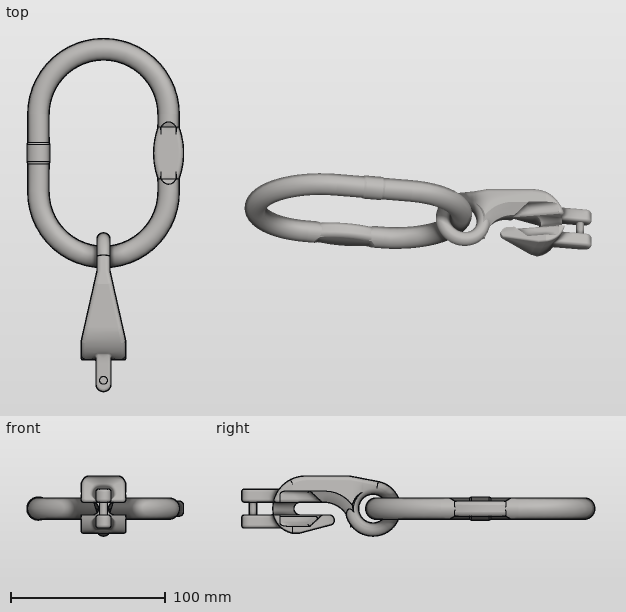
import cadquery as cq
import math

ring_wire_r = 7.0
ring_bend_r = 42.0
ring_half_straight = 25.0

collar_r = 15.05 / 2
collar_half = 5.5
collar_half_foot = 6.9

tag_half_z = 5.0
tag_half_flat = 16.7
tag_ramp = 3.4
tag_half_width = 9.77
tag_half_y = 22.0
tag_end_half_width = 4.5
tag_edge_r = 3.2

eye_y = -69.2
eye_wire_r = 4.33
eye_hole_r = 9.2
eye_ring_r = eye_hole_r + eye_wire_r
eye_outer_r = eye_ring_r + eye_wire_r
eye_hole_fillet = 3.4
eye_flare_r = 19.0

back_z = 21.1
back_r = back_z
back_slope = math.radians(10.8)
heel_y = -112.8
heel_front_y = heel_y - back_r
taper_start_y = -76.2
taper_end_y = -121.0
hook_half_width = 14.4
back_edge_r = 3.0
heel_edge_r = 1.5

slot_half = 4.05
slot_end_y = -116.1
throat_y = -101.0
throat_r = 17.5
throat_end_angle = math.radians(5)
throat_bevel_drop = 7.2
throat_bevel_inset = 5.0

lip_belly_z = -15.9
lip_belly_rear_y = -116.5
lip_belly_front_y = -121.3
lip_heel_mid = (-129.9, -10.9)
lip_tip_low = (-95.6, -10.4)
lip_tip_nose = (-94.1, -7.6)
lip_tip_top = (-98.4, -slot_half)
lip_tip_half_width = 1.5
lip_full_width_y = taper_end_y
lip_edge_r = 1.2

recess_depth_z = 11.4
recess_ramp_y = -102.0
recess_floor_y = -109.9
recess_end_y = -129.3
land_tip_y = -100.5
land_tip_half_width = 1.5
land_fillet = 2.0
land_edge_bevel = 1.0

neck_half_width = 3.1
groove_front_y = -140.0

fork_half_width = 4.9
fork_end_y = -153.99
fork_round_y = fork_end_y + fork_half_width
fork_root_y = -128.0
fork_outer_z = 12.65
fork_root_fillet = 1.0
fork_edge_r = 1.9

pin_d = 5.0
pin_y = -146.6


heel_end_y = heel_y - math.sqrt(back_r**2 - slot_half**2)

clearance = 0.3
reach = 100.0
upper_half = ((-reach, fork_end_y, back_z / 2), (reach, 0, reach))
throat_rim = ((-reach, recess_floor_y, -reach), (-clearance, eye_y - eye_ring_r / 2, slot_half + clearance))
below_lip_top = ((-reach, fork_end_y, -reach), (reach, lip_tip_low[0] - clearance, -slot_half - clearance))
fork_root_half_width = fork_half_width + clearance
upper_fork_root = (
    (-fork_root_half_width, heel_front_y - clearance, slot_half + clearance),
    (fork_root_half_width, fork_root_y + fork_edge_r, fork_outer_z + clearance),
)
lower_fork_root = (
    (-fork_root_half_width, heel_front_y - clearance, -fork_outer_z - clearance),
    (fork_root_half_width, fork_root_y + fork_edge_r, -slot_half - clearance),
)


def edges_in(body, box):
    """Edges of a body whose centres lie inside a box given by two opposite corners."""
    return body.edges(cq.selectors.BoxSelector(*box))


def side_profile(start):
    """Sketch plane whose local axes are the part's Y and Z."""
    return cq.Workplane("YZ").moveTo(*start)


def make_ring():
    path = (
        cq.Workplane("XY")
        .moveTo(ring_bend_r, 0)
        .lineTo(ring_bend_r, ring_half_straight)
        .threePointArc((0, ring_half_straight + ring_bend_r), (-ring_bend_r, ring_half_straight))
        .lineTo(-ring_bend_r, -ring_half_straight)
        .threePointArc((0, -ring_half_straight - ring_bend_r), (ring_bend_r, -ring_half_straight))
        .close()
    )
    wire_section = cq.Workplane("XZ", origin=(ring_bend_r, 0, 0)).circle(ring_wire_r)
    ring = wire_section.sweep(path)
    return add_tag(ring.union(make_collar()))


def make_collar():
    half_section = (
        cq.Workplane("XY", origin=(-ring_bend_r, 0, 0))
        .moveTo(0, -collar_half_foot)
        .lineTo(ring_wire_r, -collar_half_foot)
        .lineTo(collar_r, -collar_half)
        .lineTo(collar_r, collar_half)
        .lineTo(ring_wire_r, collar_half_foot)
        .lineTo(0, collar_half_foot)
        .close()
    )
    return half_section.revolve(360, (0, 0, 0), (0, 1, 0))


def add_tag(ring):
    """Flatten the +X leg above and below, and widen it into a lens."""
    half_ramp_end = tag_half_flat + tag_ramp
    for side in (1, -1):
        flat_cut = (
            side_profile((-half_ramp_end, side * ring_wire_r))
            .lineTo(-tag_half_flat, side * tag_half_z)
            .lineTo(tag_half_flat, side * tag_half_z)
            .lineTo(half_ramp_end, side * ring_wire_r)
            .close()
            .extrude(ring_wire_r, both=True)
            .translate((ring_bend_r, 0, 0))
        )
        ring = ring.cut(flat_cut)
    lens = (
        cq.Workplane("XY", origin=(ring_bend_r, 0, -tag_half_z))
        .moveTo(-tag_end_half_width, -tag_half_y)
        .threePointArc((-tag_half_width, 0), (-tag_end_half_width, tag_half_y))
        .lineTo(tag_end_half_width, tag_half_y)
        .threePointArc((tag_half_width, 0), (tag_end_half_width, -tag_half_y))
        .close()
        .extrude(2 * tag_half_z)
        .edges("(not #Z) and (not |X) and (not |Z)")
        .fillet(tag_edge_r)
    )
    lens_limits = cq.Workplane("XY").box(4 * tag_half_width, 2 * tag_half_flat, 2 * tag_half_z)
    return ring.union(lens.intersect(lens_limits.translate((ring_bend_r, 0, 0))))


def throat_point(angle):
    """Point on the throat curve; zero is level with its centre, a quarter turn is its crown."""
    throat_centre_z = slot_half - throat_r
    return (throat_y + throat_r * math.cos(angle), throat_centre_z + throat_r * math.sin(angle))


def make_arm():
    """Upper part of the hook, from the eye over the flat back to the heel."""
    tangent_y = eye_y + eye_outer_r * math.sin(back_slope)
    tangent_z = eye_outer_r * math.cos(back_slope)
    back_start_y = tangent_y - (back_z - tangent_z) / math.tan(back_slope)
    throat_mid_angle = (throat_end_angle + math.pi / 2) / 2
    arm = (
        side_profile((tangent_y, tangent_z))
        .lineTo(back_start_y, back_z)
        .lineTo(heel_y, back_z)
        .threePointArc(
            (heel_y - back_r * math.cos(math.pi / 4), back_r * math.sin(math.pi / 4)),
            (heel_end_y, slot_half),
        )
        .lineTo(throat_y, slot_half)
        .threePointArc(throat_point(throat_mid_angle), throat_point(throat_end_angle))
        .lineTo(eye_y, 0)
        .close()
        .extrude(hook_half_width, both=True)
    )
    plan = (
        cq.Workplane("XY", origin=(0, 0, -eye_outer_r))
        .polyline([
            (-eye_wire_r, 0),
            (-eye_wire_r, taper_start_y),
            (-hook_half_width, taper_end_y),
            (-hook_half_width, groove_front_y),
            (hook_half_width, groove_front_y),
            (hook_half_width, taper_end_y),
            (eye_wire_r, taper_start_y),
            (eye_wire_r, 0),
        ])
        .close()
        .extrude(2 * back_z)
    )
    arm = arm.intersect(plan)
    arm = edges_in(arm, upper_half).edges("(not |X) and (not |Z)").fillet(back_edge_r)
    arm = arm.edges("|X and <Y").fillet(heel_edge_r)
    return bevel_throat(arm)


def bevel_throat(arm):
    """Bevel the throat rims on one half of the arm and mirror it across to the other."""
    half_throat_space = (
        cq.Workplane("XY")
        .rect(-hook_half_width, recess_floor_y, centered=False)
        .extrude(back_z, both=True)
    )
    half_throat = arm.intersect(half_throat_space)
    curved_rim = edges_in(half_throat, throat_rim).edges("%ELLIPSE")
    half_throat = curved_rim.chamfer(throat_bevel_drop, throat_bevel_inset)
    heel = arm.cut(half_throat_space).cut(half_throat_space.mirror("YZ"))
    return heel.union(half_throat).union(half_throat.mirror("YZ"))


def make_eye_rim():
    """Ring round the eye, full-round on the outside and square towards the hole."""
    half_section = (
        cq.Workplane("XY", origin=(0, eye_y, 0))
        .moveTo(-eye_wire_r, eye_hole_r)
        .lineTo(-eye_wire_r, eye_ring_r)
        .threePointArc((0, eye_outer_r), (eye_wire_r, eye_ring_r))
        .lineTo(eye_wire_r, eye_hole_r)
        .close()
    )
    return half_section.revolve(360, (0, 0, 0), (1, 0, 0))


def make_eye_hole():
    """Hole with rounded rims, which flare on outwards where the arm is wider than the rim."""
    rounding_start_x = eye_wire_r - eye_hole_fillet
    rim_r = eye_hole_r + eye_hole_fillet
    arc_x = rounding_start_x + eye_hole_fillet * math.sin(math.pi / 4)
    arc_r = rim_r - eye_hole_fillet * math.cos(math.pi / 4)
    half_section = (
        cq.Workplane("XY", origin=(0, eye_y, 0))
        .moveTo(-hook_half_width, 0)
        .lineTo(-hook_half_width, eye_flare_r)
        .lineTo(-eye_wire_r, rim_r)
        .threePointArc((-arc_x, arc_r), (-rounding_start_x, eye_hole_r))
        .lineTo(rounding_start_x, eye_hole_r)
        .threePointArc((arc_x, arc_r), (eye_wire_r, rim_r))
        .lineTo(hook_half_width, eye_flare_r)
        .lineTo(hook_half_width, 0)
        .close()
    )
    return half_section.revolve(360, (0, 0, 0), (1, 0, 0))


def make_lip():
    """Lower part of the hook, tapering from the heel to a narrow tip."""
    lip = (
        side_profile((heel_end_y, -slot_half))
        .threePointArc(lip_heel_mid, (lip_belly_front_y, lip_belly_z))
        .lineTo(lip_belly_rear_y, lip_belly_z)
        .lineTo(*lip_tip_low)
        .threePointArc(lip_tip_nose, lip_tip_top)
        .close()
        .extrude(hook_half_width, both=True)
    )
    plan = (
        cq.Workplane("XY", origin=(0, 0, lip_belly_z))
        .polyline([
            (-lip_tip_half_width, lip_tip_nose[0]),
            (-hook_half_width, lip_full_width_y),
            (-hook_half_width, groove_front_y),
            (hook_half_width, groove_front_y),
            (hook_half_width, lip_full_width_y),
            (lip_tip_half_width, lip_tip_nose[0]),
        ])
        .close()
        .extrude(-lip_belly_z)
    )
    lip = lip.intersect(plan)
    return edges_in(lip, below_lip_top).edges("(not |X) and (not |Z)").fillet(lip_edge_r)


def make_recess_tool(side):
    """Removes the flanks beside the slot; side is +1 above it and -1 below it."""
    flank = (
        side_profile((recess_ramp_y, side * slot_half))
        .lineTo(recess_floor_y, side * recess_depth_z)
        .lineTo(recess_end_y, side * recess_depth_z)
        .lineTo(recess_end_y, side * slot_half)
        .close()
        .extrude(2 * hook_half_width, both=True)
    )
    land = (
        cq.Workplane("XY", origin=(0, 0, side * slot_half))
        .polyline([
            (-land_tip_half_width, land_tip_y),
            (-hook_half_width, recess_end_y),
            (hook_half_width, recess_end_y),
            (land_tip_half_width, land_tip_y),
        ])
        .close()
        .extrude(side * back_z)
    )
    slot_face = land.faces("<Z" if side > 0 else ">Z")
    land = slot_face.edges("not |X").chamfer(land_edge_bevel)
    tool = flank.cut(land)
    low, high = sorted((side * (slot_half + land_edge_bevel), side * back_z))
    root_box = ((-hook_half_width, recess_end_y, low), (hook_half_width, recess_ramp_y, high))
    return edges_in(tool, root_box).edges("(not |X) and (not |Y) and (not |Z)").fillet(land_fillet)


def make_neck():
    """Web that joins the arm and the lip behind the slot, waisted by a round groove on each side."""
    groove_x = neck_half_width + slot_half
    neck = (
        side_profile((slot_end_y, slot_half))
        .lineTo(heel_end_y, slot_half)
        .threePointArc((heel_front_y, 0), (heel_end_y, -slot_half))
        .lineTo(slot_end_y, -slot_half)
        .threePointArc((slot_end_y - slot_half, 0), (slot_end_y, slot_half))
        .close()
        .extrude(groove_x, both=True)
    )
    grooves = (
        cq.Workplane("XZ", origin=(0, eye_y, 0))
        .pushPoints([(-groove_x, 0), (groove_x, 0)])
        .circle(slot_half)
        .extrude(eye_y - groove_front_y)
    )
    return neck.cut(grooves)


def make_fork_arm(side):
    """One arm of the fork; side is +1 for the upper arm and -1 for the lower one."""
    fork_arm = (
        cq.Workplane("XY", origin=(0, 0, side * slot_half))
        .moveTo(-fork_half_width, fork_root_y)
        .lineTo(-fork_half_width, fork_round_y)
        .threePointArc((0, fork_end_y), (fork_half_width, fork_round_y))
        .lineTo(fork_half_width, fork_root_y)
        .close()
        .extrude(side * (fork_outer_z - slot_half))
    )
    return fork_arm.faces("|Z").edges("not(>Y)").fillet(fork_edge_r)


def make_pin():
    return cq.Workplane("XY", origin=(0, pin_y, -fork_outer_z)).circle(pin_d / 2).extrude(2 * fork_outer_z)


def make_hook():
    hook = make_arm().union(make_eye_rim()).cut(make_eye_hole())
    hook = hook.union(make_lip())
    for side in (1, -1):
        hook = hook.cut(make_recess_tool(side))
    hook = hook.union(make_neck())
    for side in (1, -1):
        hook = hook.union(make_fork_arm(side))
    for root_box in (upper_fork_root, lower_fork_root):
        hook = edges_in(hook, root_box).fillet(fork_root_fillet)
    return hook.cut(make_pin())


ring = make_ring()
hook = make_hook()
pin = make_pin()
result = cq.Compound.makeCompound([ring.val(), *hook.vals(), pin.val()])